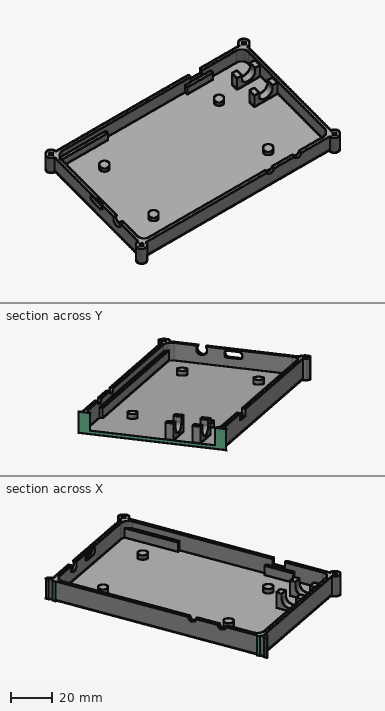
import cadquery as cq

width = 78.0
length = 122.5
height = 11.0
boss_diameter = 5.5
screw_hole_diameter = 2.0
box_width = width - boss_diameter
box_length = length - boss_diameter
wall = 1.7
floor = 2.1
cavity_corner_radius = 4.0
bottom_fillet = 1.2
cavity_width = box_width - 2 * wall
cavity_length = box_length - 2 * wall

standoff_diameter = 5.0
standoff_height = 2.5
standoff_x = 19.7
standoff_ys = (30.9, -38.7)

ledge_width = 1.7
ledge_top = 7.2
ledge_back_y = 37.1
short_ledge_front_y = 21.5
left_front_ledge_back_y = -26.6

cradle_thickness = 4.0
cradle_depth = 14.0
cradle_top = 10.5
cradle_bore_diameter = 8.0
cradle_axis_z = 7.7
cradle_y = 49.5
cradle_xs = (-22.7, -8.8)

slot_width = 9.1
slot_height = 3.5
slot_z = 8.5
slot_corner_radius = 1.5
jack_diameter = 5.5
jack_x = 16.3
jack_z = 9.3
switch_width = 6.9
switch_y = 28.3
switch_bottom = 7.5
button_diameter = 4.0
button_ys = (36.3, 19.8)


def block(x_min, x_max, y_min, y_max, z_min, z_max):
    """Box given by its limits along each axis."""
    return cq.Workplane("XY").box(
        x_max - x_min, y_max - y_min, z_max - z_min, centered=False
    ).translate((x_min, y_min, z_min))


def make_shell():
    """Open tray with rounded bottom edges and a screw boss on each corner."""
    outside = cq.Workplane("XY").box(box_width, box_length, height, centered=(True, True, False))
    outside = outside.faces("<Z").edges().fillet(bottom_fillet)
    corners = cq.Workplane("XY").rect(box_width, box_length, forConstruction=True).vertices()
    bosses = corners.circle(boss_diameter / 2).extrude(height)
    holes = corners.circle(screw_hole_diameter / 2).extrude(height)
    cavity = (
        cq.Workplane("XY", origin=(0, 0, floor))
        .rect(cavity_width, cavity_length)
        .extrude(height)
        .edges("|Z")
        .fillet(cavity_corner_radius)
    )
    return outside.union(bosses).cut(cavity).cut(holes)


def make_standoffs():
    points = [(x, y) for x in (-standoff_x, standoff_x) for y in standoff_ys]
    return (
        cq.Workplane("XY", origin=(0, 0, floor))
        .pushPoints(points)
        .circle(standoff_diameter / 2)
        .extrude(standoff_height)
    )


def make_ledge(side, y_min, y_max):
    """Ledge rooted in the left (side=-1) or right (side=1) wall."""
    wall_middle = side * (box_width - wall) / 2
    inner_edge = side * (cavity_width / 2 - ledge_width)
    x_min, x_max = sorted((wall_middle, inner_edge))
    return block(x_min, x_max, y_min, y_max, floor / 2, ledge_top)


def make_cradle(x):
    """Upright plate with a U-shaped seat open at the top."""
    x_min = x - cradle_thickness / 2
    x_max = x + cradle_thickness / 2
    bore_radius = cradle_bore_diameter / 2
    plate = block(
        x_min, x_max, cradle_y - cradle_depth / 2, cradle_y + cradle_depth / 2, floor / 2, cradle_top
    )
    bore = (
        cq.Workplane("YZ", origin=(x_min, cradle_y, cradle_axis_z))
        .circle(bore_radius)
        .extrude(cradle_thickness)
    )
    mouth = block(x_min, x_max, cradle_y - bore_radius, cradle_y + bore_radius, cradle_axis_z, height)
    return plate.cut(bore).cut(mouth)


def make_front_openings():
    """Rounded connector slot and round jack opening through the -Y wall."""
    wall_middle_y = -(box_length - wall) / 2
    slot = (
        cq.Workplane("XY")
        .box(slot_width, 2 * wall, slot_height)
        .edges("|Y")
        .fillet(slot_corner_radius)
        .translate((0, wall_middle_y, slot_z))
    )
    jack = (
        cq.Workplane("XZ", origin=(jack_x, wall_middle_y, jack_z))
        .circle(jack_diameter / 2)
        .extrude(wall, both=True)
    )
    return slot.union(jack)


def make_switch_notch():
    return block(
        -box_width / 2,
        -cavity_width / 2,
        switch_y - switch_width / 2,
        switch_y + switch_width / 2,
        switch_bottom,
        height,
    )


def make_button_notches():
    """Half-round notches in the rim of the +X wall."""
    return (
        cq.Workplane("YZ", origin=(cavity_width / 2, 0, height))
        .pushPoints([(y, 0) for y in button_ys])
        .circle(button_diameter / 2)
        .extrude(wall)
    )


ledge_front_y = -(box_length - wall) / 2

result = make_shell().union(make_standoffs())
result = result.union(make_ledge(1, ledge_front_y, ledge_back_y))
result = result.union(make_ledge(-1, ledge_front_y, left_front_ledge_back_y))
result = result.union(make_ledge(-1, short_ledge_front_y, ledge_back_y))
for cradle_x in cradle_xs:
    result = result.union(make_cradle(cradle_x))
result = result.cut(make_front_openings()).cut(make_switch_notch()).cut(make_button_notches())